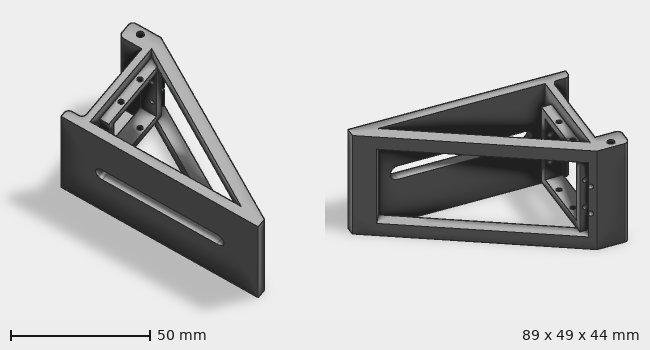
import cadquery as cq
import math

length = 89.0
depth = 49.0
height = 44.0
mid_z = height / 2

base_left = 2.9
base_thickness = 4.0
wall_left = 10.0
wall_right = 12.9
lug_depth = 8.0
corner_radius = 2.0
brace_inner_top = 43.1
brace_inner_end = 78.8

pin_hole_diameter = 2.8
pin_hole_x = 6.0
pin_hole_edge_distance = 3.0
slot_left = 18.0
slot_right = 74.05
slot_width = 6.05
window_margin = 5.4

opening_side = 27.1
opening_center_y = 26.7
frame_wall = 3.2
frame_right = 17.0
screw_hole_diameter = 2.1
screw_hole_x = 14.95
screw_hole_spacing = 12.0


def make_body():
    """Extrude the triangular bracket and round its vertical edges."""
    outline = [
        (base_left, 0),
        (length, 0),
        (length, base_thickness),
        (wall_right, depth),
        (0, depth),
        (0, depth - lug_depth),
        (wall_left, depth - lug_depth),
        (wall_left, base_thickness),
        (base_left, base_thickness),
    ]
    rounded_corners = [
        (0, depth),
        (0, depth - lug_depth),
        (wall_left, base_thickness),
        (base_left, base_thickness),
    ]
    body = cq.Workplane("XY").polyline(outline).close().extrude(height)
    for x, y in rounded_corners:
        corner_edge = cq.selectors.NearestToPointSelector((x, y, mid_z))
        body = body.edges("|Z").edges(corner_edge).fillet(corner_radius)

    triangle = [
        (wall_right, base_thickness),
        (brace_inner_end, base_thickness),
        (wall_right, brace_inner_top),
    ]
    return body.cut(cq.Workplane("XY").polyline(triangle).close().extrude(height))


def make_brace_window():
    """Cutter square to the brace, as long as the brace's inner face."""
    run = brace_inner_end - wall_right
    drop = brace_inner_top - base_thickness
    face_length = math.hypot(run, drop)
    angle = -math.degrees(math.atan2(drop, run))
    return (
        cq.Workplane("XY")
        .box(face_length, lug_depth, height - 2 * window_margin, centered=(False, False, True))
        .rotate((0, 0, 0), (0, 0, 1), angle)
        .translate((wall_right, brace_inner_top, mid_z))
    )


def square_bar(side, left, right):
    """Square bar along X, centred on the wall opening."""
    return (
        cq.Workplane("YZ", origin=(left, opening_center_y, mid_z))
        .rect(side, side)
        .extrude(right - left)
    )


def make_screw_holes():
    """Pairs of holes through all four sides of the square frame."""
    radius = screw_hole_diameter / 2
    holes = cq.Workplane("XY")
    for offset in (-screw_hole_spacing / 2, screw_hole_spacing / 2):
        vertical = (
            cq.Workplane("XY")
            .center(screw_hole_x, opening_center_y + offset)
            .circle(radius)
            .extrude(height)
        )
        crosswise_start = opening_center_y - opening_side / 2 - frame_wall
        crosswise = (
            cq.Workplane("XZ", origin=(screw_hole_x, crosswise_start, mid_z + offset))
            .circle(radius)
            .extrude(crosswise_start - depth)
        )
        holes = holes.add(vertical).add(crosswise)
    return holes.combine()


def make_slot():
    """Rounded slot through the base plate."""
    return (
        cq.Workplane("XZ", origin=((slot_left + slot_right) / 2, 0, mid_z))
        .slot2D(slot_right - slot_left, slot_width)
        .extrude(-base_thickness)
    )


def make_pin_hole():
    """Vertical hole through the full height of the lug."""
    return (
        cq.Workplane("XY")
        .center(pin_hole_x, depth - pin_hole_edge_distance)
        .circle(pin_hole_diameter / 2)
        .extrude(height)
    )


frame_side = opening_side + 2 * frame_wall
result = (
    make_body()
    .cut(make_brace_window())
    .union(square_bar(frame_side, wall_right, frame_right))
    .cut(square_bar(opening_side, wall_left, frame_right))
    .cut(make_screw_holes())
    .cut(make_slot())
    .cut(make_pin_hole())
)